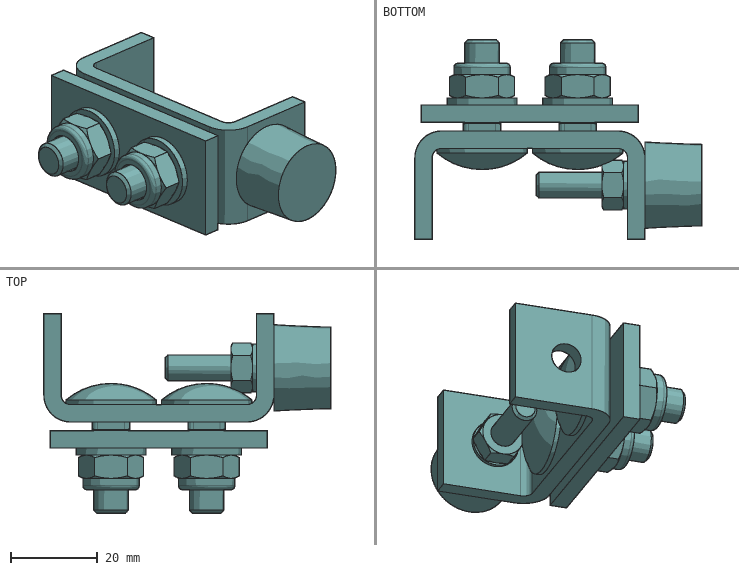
import cadquery as cq
import math

overall_length = 66.1
height = 24.0
sheet = 4.0

bracket_width = 53.0
bracket_depth = 25.0
outer_bend_radius = 6.2
inner_bend_radius = outer_bend_radius - sheet
stud_axis_y = 12.5
leg_hole_diameter = 7.15

plate_width = 50.05
plate_gap = 2.0
plate_outer_y = -(plate_gap + sheet)

bolt_spacing = 22.0
bolt_diameter = 8.0
bolt_tip_y = -21.0
bolt_chamfer = 0.7
head_diameter = 20.9
head_rim = 1.05
head_height = 4.9
neck_side = 8.65
neck_corner_radius = 1.25
neck_length = 5.7

bolt_washer_diameter = 16.1
bolt_washer_thickness = 1.6
bolt_nut_flats = 13.0
bolt_nut_hex_height = 5.35
collar_diameter = bolt_nut_flats
collar_height = 2.65
collar_round = 1.0
collar_bore = 8.65

buffer_base_diameter = 19.95
buffer_end_diameter = 18.85
buffer_length = overall_length - bracket_width
stud_diameter = 6.0
stud_tip_x = 1.45
stud_chamfer = 0.65
stud_washer_diameter = 11.05
stud_washer_thickness = 0.85
stud_nut_flats = 10.0
stud_nut_height = 5.0

nut_bevel_slope = math.tan(math.radians(30))


def rod(diameter, length):
    """Cylinder from the origin along +Z."""
    return cq.Workplane("XY").circle(diameter / 2).extrude(length)


def hex_nut(flats, thickness):
    """Hexagon along +Z with corners on +-X, bevelled at both ends."""
    corners = flats / math.cos(math.radians(30))
    bevel_width = (corners - flats) / 2
    bevel_height = bevel_width * nut_bevel_slope
    hexagon = cq.Workplane("XY").polygon(6, corners).extrude(thickness)
    envelope = rod(corners, thickness).faces("<Z or >Z").chamfer(bevel_height, bevel_width)
    return hexagon.intersect(envelope)


def bracket():
    """U-shaped sheet with a mounting hole in the free leg."""
    inner_width = bracket_width - 2 * sheet
    body = (
        cq.Workplane("XY")
        .box(bracket_width, bracket_depth, height, centered=(True, False, True))
        .edges("|Z and <Y")
        .fillet(outer_bend_radius)
    )
    channel = (
        cq.Workplane("XY")
        .box(inner_width, bracket_depth, height, centered=(True, False, True))
        .edges("|Z and <Y")
        .fillet(inner_bend_radius)
        .translate((0, sheet, 0))
    )
    leg_hole = rod(leg_hole_diameter, sheet).rotate((0, 0, 0), (0, 1, 0), 90)
    return body.cut(channel).cut(leg_hole.translate((-bracket_width / 2, stud_axis_y, 0)))


def clamp_plate():
    plate = cq.Workplane("XY").box(plate_width, sheet, height)
    return plate.translate((0, plate_outer_y + sheet / 2, 0))


def carriage_bolt():
    """Bolt with the head underside on Z = 0 and the shank toward +Z."""
    head_radius = head_diameter / 2
    dome_height = head_height - head_rim
    dome_radius = (head_radius**2 + dome_height**2) / (2 * dome_height)
    half_angle = math.asin(head_radius / dome_radius) / 2
    dome_middle = (
        dome_radius * math.sin(half_angle),
        -head_height + dome_radius * (1 - math.cos(half_angle)),
    )
    head = (
        cq.Workplane("XZ")
        .moveTo(0, 0)
        .lineTo(head_radius, 0)
        .lineTo(head_radius, -head_rim)
        .threePointArc(dome_middle, (0, -head_height))
        .close()
        .revolve(360, (0, 0), (0, 1))
    )
    neck = (
        cq.Workplane("XY")
        .rect(neck_side, neck_side)
        .extrude(neck_length)
        .edges("|Z")
        .fillet(neck_corner_radius)
    )
    shank = rod(bolt_diameter, sheet - bolt_tip_y).faces(">Z").chamfer(bolt_chamfer)
    return head.union(neck).union(shank)


def locknut():
    """Hexagon on Z = 0 with a rounded, bored collar toward +Z."""
    hexagon = hex_nut(bolt_nut_flats, bolt_nut_hex_height)
    collar = rod(collar_diameter, collar_height).faces(">Z").edges().fillet(collar_round)
    collar = collar.cut(rod(collar_bore, collar_height))
    return hexagon.union(collar.translate((0, 0, bolt_nut_hex_height)))


def clamp_fastener():
    """Bolt, washer and locknut, with the axis pointing toward -Y."""
    washer_seat = sheet - plate_outer_y
    washer = rod(bolt_washer_diameter, bolt_washer_thickness).translate((0, 0, washer_seat))
    nut = locknut().translate((0, 0, washer_seat + bolt_washer_thickness))
    stack = washer.union(nut).union(carriage_bolt())
    return stack.rotate((0, 0, 0), (1, 0, 0), 90).translate((0, sheet, 0))


def buffer():
    """Tapered rubber buffer outside the right leg, clamped by its stud and nut."""
    leg_outer_x = bracket_width / 2
    body = (
        cq.Workplane("XY")
        .circle(buffer_base_diameter / 2)
        .workplane(offset=-buffer_length)
        .circle(buffer_end_diameter / 2)
        .loft()
    )
    stud = rod(stud_diameter, leg_outer_x - stud_tip_x).faces(">Z").chamfer(stud_chamfer)
    washer = rod(stud_washer_diameter, stud_washer_thickness).translate((0, 0, sheet))
    nut = hex_nut(stud_nut_flats, stud_nut_height).rotate((0, 0, 0), (0, 0, 1), 90)
    nut = nut.translate((0, 0, sheet + stud_washer_thickness))
    assembled = body.union(stud).union(washer).union(nut)
    return assembled.rotate((0, 0, 0), (0, 1, 0), -90).translate((leg_outer_x, stud_axis_y, 0))


result = bracket().union(clamp_plate()).union(buffer())
for side in (-1, 1):
    result = result.union(clamp_fastener().translate((side * bolt_spacing / 2, 0, 0)))